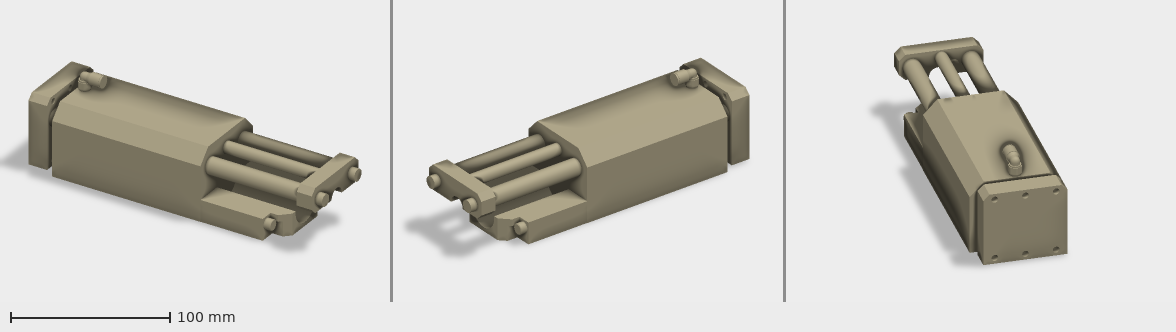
import cadquery as cq
import math

total_length = 215.0

housing_start = 19.8
housing_end = 129.6
housing_width = 62.0
housing_height = 49.9
housing_bevel_width = 9.2
housing_bevel_height = 9.9

base_width = 61.5
base_height = 15.7
shoulder_end = 175.7
nose_end = 188.0
nose_tip_half_width = 14.8
nose_upper_half_width = 21.5
nose_lower_half_width = 19.4
nose_step_height = 11.0
groove_radius = 11.5
groove_axis_height = 14.2

buffer_diameter = 7.7
buffer_length = 5.0
buffer_chamfer = 0.5
buffer_spacing = 52.0
buffer_height = 10.3

fitting_x = 24.5
outlet_height = 59.0
collar_diameter = 7.7
hex_bottom = 51.2
hex_top = 56.0
hex_across_flats = 8.2
hex_corner_diameter = 8.8
collar_top = 57.0
elbow_diameter = 6.2
cone_start = 27.3
cone_end_diameter = 7.7
sleeve_diameter = 8.5
sleeve_start = 29.9
sleeve_groove_start = 37.2
sleeve_groove_end = 38.3
sleeve_groove_diameter = 8.0
sleeve_end = 38.5

plate_width = 55.0
plate_bevel = 4.0
front_plate_thickness = 13.8
front_plate_bottom = 1.3
front_plate_height = 50.0
screw_hole_diameter = 4.3
screw_hole_pitch = 20.0
screw_hole_heights = (5.4, 47.3)
rear_plate_start = 198.9
rear_plate_end = 210.0
rear_plate_bottom = 26.7
rear_plate_height = 18.0
notch_radius = 6.0
notch_y = 2.0
pin_diameter = 6.2
pin_length = 2.0
pin_y = -8.2
pin_height = 34.0

guide_diameter = 12.0
guide_spacing = 38.3
guide_height = 35.3
stud_diameter = 8.5
lower_rod_diameter = 9.9
lower_rod_height = 18.0
rear_rod_diameter = 8.5
rear_rod_height = 39.3


def rod_x(start, end, diameter, y, z):
    """Round bar along X from start to end."""
    return cq.Workplane("YZ", origin=(start, y, z)).circle(diameter / 2).extrude(end - start)


def disc_z(bottom, top, diameter):
    """Round disc on the vertical axis of the fitting."""
    return cq.Workplane("XY", origin=(fitting_x, 0, bottom)).circle(diameter / 2).extrude(top - bottom)


def box_from_floor(start, end, width, bottom, height):
    """Box centred across Y, standing on the level `bottom`."""
    return cq.Workplane("XY", origin=(start, 0, bottom)).box(
        end - start, width, height, centered=(False, True, False)
    )


def make_block():
    half = housing_width / 2
    bevel_z = housing_height - housing_bevel_height
    top_half = half - housing_bevel_width
    outline = [
        (-half, 0),
        (half, 0),
        (half, bevel_z),
        (top_half, housing_height),
        (-top_half, housing_height),
        (-half, bevel_z),
    ]
    section = cq.Workplane("YZ", origin=(housing_start, 0, 0)).polyline(outline).close()
    return section.extrude(housing_end - housing_start)


def make_nose_layer(half_width, bottom, top):
    """Layer of the nose, whose outer corners are cut at 45 degrees."""
    corner_x = nose_end - (half_width - nose_tip_half_width)
    outline = [
        (housing_end, -half_width),
        (corner_x, -half_width),
        (nose_end, -nose_tip_half_width),
        (nose_end, nose_tip_half_width),
        (corner_x, half_width),
        (housing_end, half_width),
    ]
    return cq.Workplane("XY", origin=(0, 0, bottom)).polyline(outline).close().extrude(top - bottom)


def make_base():
    base = box_from_floor(housing_end, shoulder_end, base_width, 0, base_height)
    base = base.union(make_nose_layer(nose_lower_half_width, 0, nose_step_height))
    base = base.union(make_nose_layer(nose_upper_half_width, nose_step_height, base_height))
    groove = rod_x(housing_end, nose_end, 2 * groove_radius, 0, groove_axis_height)
    groove_mouth = box_from_floor(
        housing_end, nose_end, 2 * groove_radius, groove_axis_height, groove_radius
    )
    return base.cut(groove).cut(groove_mouth)


def make_buffer(y):
    buffer = rod_x(shoulder_end, shoulder_end + buffer_length, buffer_diameter, y, buffer_height)
    return buffer.faces(">X").chamfer(buffer_chamfer)


def make_fitting():
    hex_height = hex_top - hex_bottom
    hex_corner_to_corner = hex_across_flats / math.cos(math.pi / 6)
    hexagon = (
        cq.Workplane("XY", origin=(fitting_x, 0, hex_bottom))
        .polygon(6, hex_corner_to_corner)
        .extrude(hex_height)
        .intersect(disc_z(hex_bottom, hex_top, hex_corner_diameter))
    )
    fitting = disc_z(housing_height, collar_top, collar_diameter).union(hexagon)
    fitting = fitting.union(disc_z(collar_top, outlet_height, elbow_diameter))
    ball = cq.Workplane("XY", origin=(fitting_x, 0, outlet_height)).sphere(elbow_diameter / 2)
    fitting = fitting.union(ball)
    outlet_profile = [
        (fitting_x, 0),
        (fitting_x, elbow_diameter / 2),
        (cone_start, elbow_diameter / 2),
        (sleeve_start, cone_end_diameter / 2),
        (sleeve_start, sleeve_diameter / 2),
        (sleeve_groove_start, sleeve_diameter / 2),
        (sleeve_groove_start, sleeve_groove_diameter / 2),
        (sleeve_groove_end, sleeve_groove_diameter / 2),
        (sleeve_groove_end, sleeve_diameter / 2),
        (sleeve_end, sleeve_diameter / 2),
        (sleeve_end, 0),
    ]
    outlet = (
        cq.Workplane("XZ", origin=(0, 0, outlet_height))
        .polyline(outlet_profile)
        .close()
        .revolve(360, (0, 0, 0), (1, 0, 0))
    )
    return fitting.union(outlet)


def make_housing():
    housing = make_block().union(make_base())
    for side in (-1, 1):
        housing = housing.union(make_buffer(side * buffer_spacing / 2))
        bore = rod_x(housing_start, housing_end, guide_diameter, side * guide_spacing / 2, guide_height)
        housing = housing.cut(bore)
    return housing.union(make_fitting())


def make_front_plate():
    plate = box_from_floor(0, front_plate_thickness, plate_width, front_plate_bottom, front_plate_height)
    plate = plate.edges("|X and >Z").chamfer(plate_bevel)
    for z in screw_hole_heights:
        for column in (-1, 0, 1):
            hole = rod_x(0, front_plate_thickness, screw_hole_diameter, column * screw_hole_pitch, z)
            plate = plate.cut(hole)
    return plate


def make_rear_plate():
    plate = box_from_floor(
        rear_plate_start, rear_plate_end, plate_width, rear_plate_bottom, rear_plate_height
    )
    plate = plate.edges("|X").chamfer(plate_bevel)
    notch = rod_x(rear_plate_start, rear_plate_end, 2 * notch_radius, notch_y, rear_plate_bottom)
    pin = rod_x(rear_plate_start - pin_length, rear_plate_start, pin_diameter, pin_y, pin_height)
    return plate.cut(notch).union(pin)


def make_carriage():
    carriage = make_front_plate().union(make_rear_plate())
    for side in (-1, 1):
        y = side * guide_spacing / 2
        guide = rod_x(front_plate_thickness, rear_plate_start, guide_diameter, y, guide_height)
        stud = rod_x(rear_plate_end, total_length, stud_diameter, y, guide_height)
        carriage = carriage.union(guide).union(stud)
    middle = rod_x(front_plate_thickness, housing_start, guide_diameter, 0, guide_height)
    lower = rod_x(front_plate_thickness, housing_start, lower_rod_diameter, 0, lower_rod_height)
    rear = rod_x(housing_end, rear_plate_start, rear_rod_diameter, 0, rear_rod_height)
    return carriage.union(middle).union(lower).union(rear)


housing = make_housing()
carriage = make_carriage()
result = cq.Compound.makeCompound([*housing.solids().vals(), *carriage.solids().vals()])